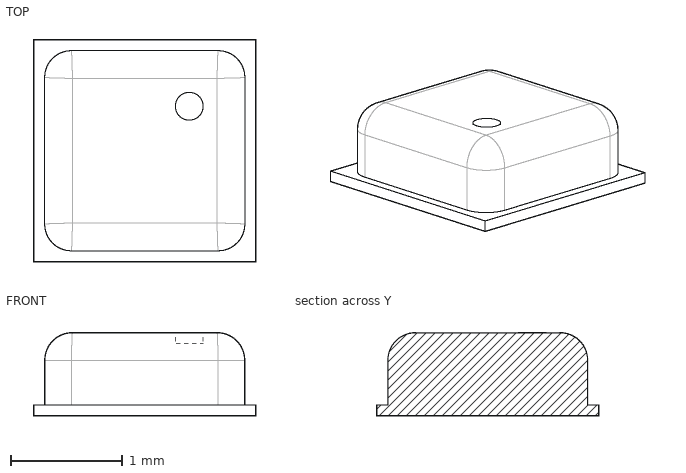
import cadquery as cq

base_side = 2.0
base_thickness = 0.1

total_height = 0.75
lid_margin = 0.1
lid_side = base_side - 2 * lid_margin
lid_height = total_height - base_thickness
corner_radius = 0.24
top_edge_radius = 0.25

port_diameter = 0.25
port_offset = 0.4
port_depth = 0.1


def make_base():
    """Flat square substrate resting on Z = 0."""
    return cq.Workplane("XY").box(base_side, base_side, base_thickness, centered=(True, True, False))


def make_lid():
    """Square lid with rounded corners and a rounded top rim."""
    lid = (
        cq.Workplane("XY")
        .workplane(offset=base_thickness)
        .box(lid_side, lid_side, lid_height, centered=(True, True, False))
    )
    lid = lid.edges("|Z").fillet(corner_radius)
    return lid.faces(">Z").edges().fillet(top_edge_radius)


def make_port():
    """Cylinder that cuts the blind port down from the lid top."""
    return (
        cq.Workplane("XY")
        .workplane(offset=total_height - port_depth)
        .center(port_offset, port_offset)
        .circle(port_diameter / 2)
        .extrude(port_depth)
    )


result = make_base().union(make_lid()).cut(make_port())